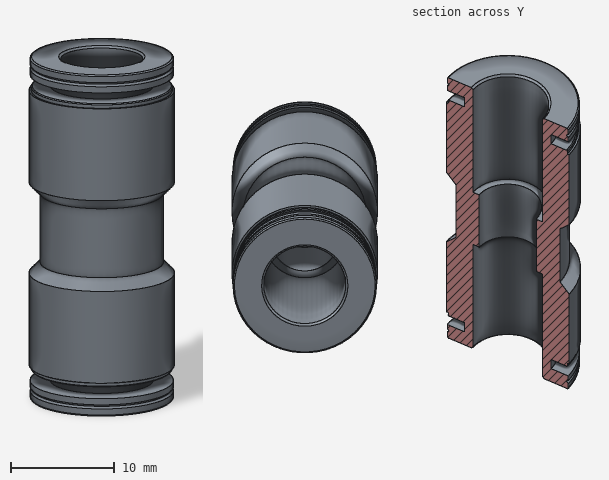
import cadquery as cq

total_length = 34.0
half_length = total_length / 2

body_diameter = 14.0
lip_diameter = 13.6
neck_diameter = 11.9
collar_diameter = 13.8
stem_diameter = 9.9

bore_diameter = 7.9
through_diameter = 6.5

groove_start = 0.75
groove_width = 0.4
collar_thickness = 1.77
lip_start = 2.9
body_start = 3.33
taper_start = 12.48
neck_start = 13.55
bore_depth = neck_start

groove_depth = 0.2
collar_chamfer = 0.15
lip_chamfer = 0.1
bore_chamfer = 0.2


def revolve_symmetric(upper_profile):
    """Revolve a (radius, height) profile, running upward, together with its mirror image about Z = 0."""
    lower_profile = [(radius, -height) for radius, height in reversed(upper_profile)]
    outline = [(0, -half_length)] + lower_profile + upper_profile + [(0, half_length)]
    return cq.Workplane("XZ").polyline(outline).close().revolve(360, (0, 0, 0), (0, 1, 0))


def make_outer_solid():
    """Solid outer form: neck, body halves, stems and grooved collars."""
    body_radius = body_diameter / 2
    lip_radius = lip_diameter / 2
    neck_radius = neck_diameter / 2
    collar_radius = collar_diameter / 2
    stem_radius = stem_diameter / 2
    lip_top = half_length - lip_start
    collar_bottom = half_length - collar_thickness
    groove_top = half_length - groove_start
    upper_profile = [
        (neck_radius, half_length - neck_start),
        (body_radius, half_length - taper_start),
        (body_radius, half_length - body_start),
        (lip_radius, half_length - body_start),
        (lip_radius, lip_top - lip_chamfer),
        (lip_radius - lip_chamfer, lip_top),
        (stem_radius, lip_top),
        (stem_radius, collar_bottom),
        (collar_radius, collar_bottom),
        (collar_radius, groove_top - groove_width),
        (collar_radius - groove_depth, groove_top - groove_width / 2),
        (collar_radius, groove_top),
        (collar_radius, half_length - collar_chamfer),
        (collar_radius - collar_chamfer, half_length),
    ]
    return revolve_symmetric(upper_profile)


def make_passage():
    """Inner passage: through hole, tube sockets and entry chamfers."""
    through_radius = through_diameter / 2
    bore_radius = bore_diameter / 2
    upper_profile = [
        (through_radius, half_length - bore_depth),
        (bore_radius, half_length - bore_depth),
        (bore_radius, half_length - bore_chamfer),
        (bore_radius + bore_chamfer, half_length),
    ]
    return revolve_symmetric(upper_profile)


result = make_outer_solid().cut(make_passage())